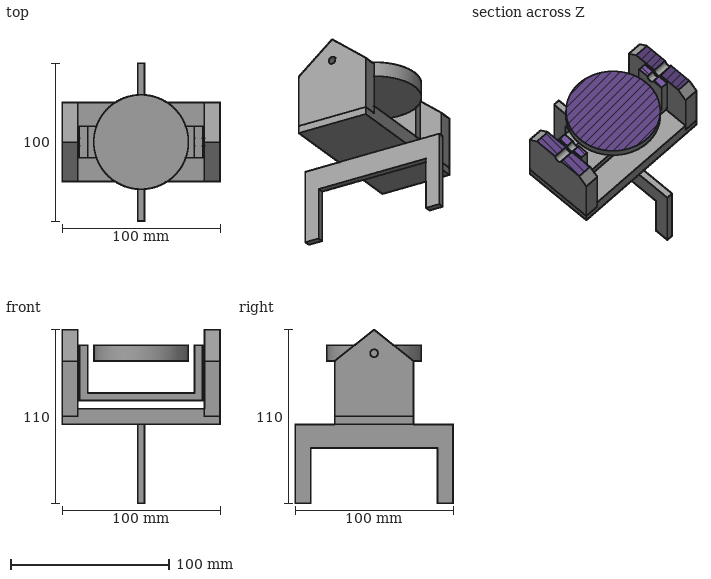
import cadquery as cq

overall_height = 110.0
overall_width = 100.0
stand_drop = 50.0
peak_height = overall_height - stand_drop

base_depth = 50.0
base_thickness = 10.0
seat_depth = base_thickness / 2

stand_span = overall_width
stand_thickness = 4.4
stand_bar_height = 15.0
foot_width = 10.0

plate_thickness = 10.0
plate_x = (overall_width - plate_thickness) / 2
plate_bottom = base_thickness - seat_depth
eave_height = 40.0

pivot_diameter = 5.0
pivot_height = 45.0

cradle_width = 78.0
cradle_depth = 20.0
cradle_wall = 5.3
cradle_floor = 5.0
cradle_bottom = 15.0
cradle_top = 50.0

disc_diameter = 60.0
disc_thickness = 10.0


def block(width, depth, bottom, top, x=0.0):
    """Box centred on Y = 0 and on the given X, between two heights."""
    return (
        cq.Workplane("XY")
        .box(width, depth, top - bottom, centered=(True, True, False))
        .translate((x, 0, bottom))
    )


def pivot_bore():
    """Cylinder along the whole pivot axis, used to cut the pivot holes."""
    return (
        cq.Workplane("YZ")
        .center(0, pivot_height)
        .circle(pivot_diameter / 2)
        .extrude(overall_width / 2, both=True)
    )


def make_base():
    """Base slab with a stepped seat at each end and a forked stand underneath."""
    slab = block(overall_width, base_depth, 0, base_thickness)
    for side in (-1, 1):
        slab = slab.cut(block(plate_thickness, base_depth, plate_bottom, base_thickness, side * plate_x))

    stand = block(stand_thickness, stand_span, -stand_drop, 0)
    gap_between_feet = block(stand_thickness, stand_span - 2 * foot_width, -stand_drop, -stand_bar_height)
    return slab.union(stand.cut(gap_between_feet))


def make_side_plate(x):
    """Gabled plate centred on the given X, with a pivot hole below the ridge."""
    half_depth = base_depth / 2
    outline = [
        (-half_depth, plate_bottom),
        (half_depth, plate_bottom),
        (half_depth, eave_height),
        (0, peak_height),
        (-half_depth, eave_height),
    ]
    plate = (
        cq.Workplane("YZ", origin=(x, 0, 0))
        .polyline(outline)
        .close()
        .extrude(plate_thickness / 2, both=True)
    )
    return plate.cut(pivot_bore())


def make_cradle():
    """U-shaped cradle with a pivot hole through both walls."""
    body = block(cradle_width, cradle_depth, cradle_bottom, cradle_top)
    inside = block(cradle_width - 2 * cradle_wall, cradle_depth, cradle_bottom + cradle_floor, cradle_top)
    return body.cut(inside).cut(pivot_bore())


def make_disc():
    """Plain round disc between the cradle walls."""
    return (
        cq.Workplane("XY", origin=(0, 0, cradle_top - disc_thickness))
        .circle(disc_diameter / 2)
        .extrude(disc_thickness)
    )


base = make_base()
side_plates = [make_side_plate(side * plate_x) for side in (-1, 1)]
cradle = make_cradle()
disc = make_disc()

result = cq.Compound.makeCompound(
    [base.val(), *[plate.val() for plate in side_plates], cradle.val(), disc.val()]
)